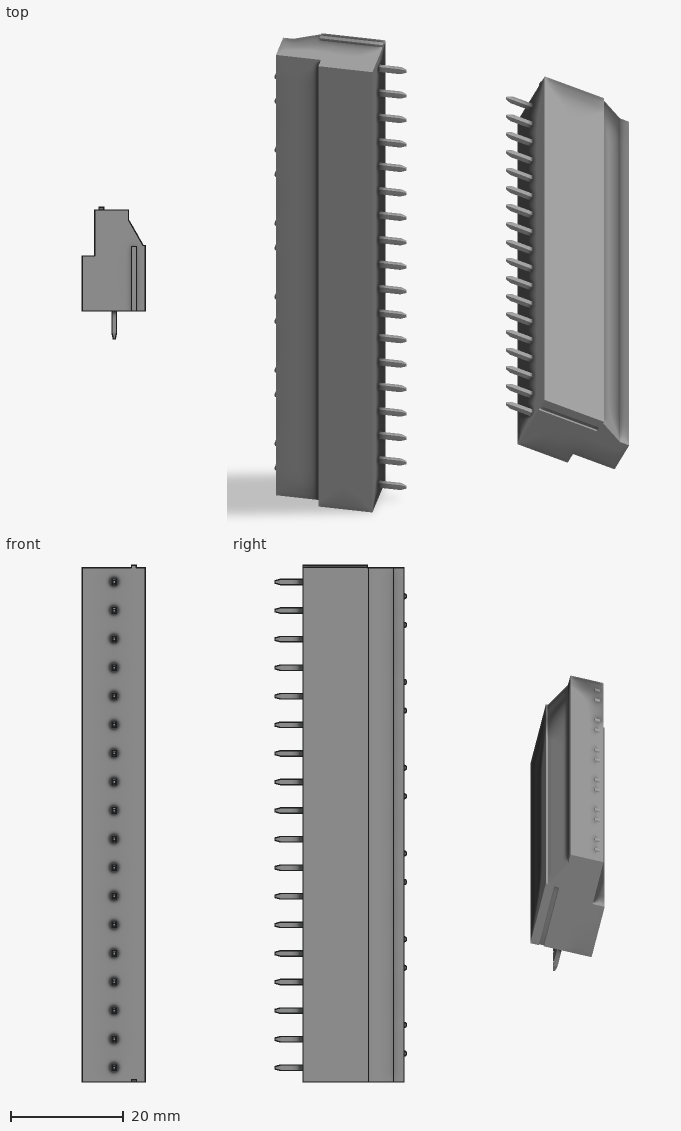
import cadquery as cq

pole_count = 18
module_poles = 3
body_length = 91.5
pole_pitch = body_length / pole_count

body_width = 11.2
body_depth = 18.0
step_x = 2.2
step_y = 9.8
top_right_x = 8.3
slope_start_y = 16.2
slope_end_x = 10.85
shoulder_y = 11.7

total_length = 91.9
rib_height = total_length - body_length
rib_width = 0.9
rib_length = 11.5
rib_center_x = 9.2

pin_width = 0.8
pin_height = 1.0
pin_length = 5.0
pin_tip_length = 1.0
pin_tip_width = 0.4
pin_tip_height = 0.5
pin_x = 5.7

bump_width = 0.9
bump_span = 0.9
bump_height = 0.5
bump_x = 3.4


def make_housing():
    outline = [
        (0, 0),
        (body_width, 0),
        (body_width, shoulder_y),
        (slope_end_x, shoulder_y),
        (top_right_x, slope_start_y),
        (top_right_x, body_depth),
        (step_x, body_depth),
        (step_x, step_y),
        (0, step_y),
    ]
    return cq.Workplane("XY").polyline(outline).close().extrude(body_length)


def make_key(base_z):
    """Bar with the shape of the joining rib, standing on the height base_z."""
    return (
        cq.Workplane("XY", origin=(rib_center_x, rib_length / 2, base_z))
        .rect(rib_width, rib_length)
        .extrude(rib_height)
    )


def make_pin(center_z):
    """Rectangular pin pointing to -Y with a tapered tip."""
    shank_length = pin_length - pin_tip_length
    shank = (
        cq.Workplane("XZ", origin=(pin_x, 0, center_z))
        .rect(pin_width, pin_height)
        .extrude(shank_length)
    )
    tip = (
        cq.Workplane("XZ", origin=(pin_x, -shank_length, center_z))
        .rect(pin_width, pin_height)
        .workplane(offset=pin_tip_length)
        .rect(pin_tip_width, pin_tip_height)
        .loft()
    )
    return shank.union(tip)


def make_bump(center_z):
    """Half-round ridge bulging to +Y."""
    return (
        cq.Workplane("YZ", origin=(bump_x - bump_width / 2, body_depth, center_z))
        .moveTo(0, -bump_span / 2)
        .threePointArc((bump_height, 0), (0, bump_span / 2))
        .close()
        .extrude(bump_width)
    )


result = make_housing().union(make_key(body_length)).cut(make_key(0))

for pole in range(pole_count):
    result = result.union(make_pin((pole + 0.5) * pole_pitch))

for boundary in range(1, pole_count):
    if boundary % module_poles != 0:
        result = result.union(make_bump(boundary * pole_pitch))